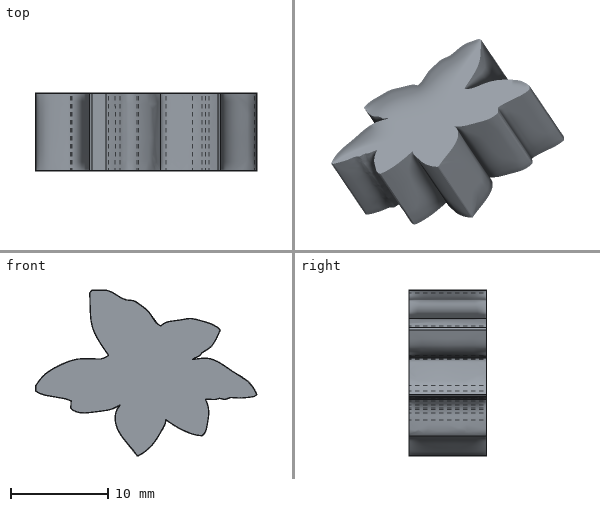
import cadquery as cq

LEAF_WIDTH = 22.8
LEAF_HEIGHT = 17.07
THICKNESS = 8.0

NOTCH_LEFT = (7.5, 10.35)
NOTCH_TOP = (12.88, 13.38)
NOTCH_RIGHT = (16.18, 9.94)
NOTCH_LOWER_RIGHT = (17.5, 5.81)
NOTCH_BOTTOM = (13.42, 3.7)
NOTCH_LOWER_LEFT = (8.7, 5.22)
NOTCH_SIDE_LOBE = (3.65, 5.65)

PETALS = [
    (
        [(6.6, 11.67), (5.97, 12.88), (5.7, 13.9), (5.6, 15.27)],
        [(5.55, 16.8), (5.81, LEAF_HEIGHT), (7.25, LEAF_HEIGHT)],
        [(8.32, 16.6), (9.35, 16.07), (10.03, 16.0), (10.7, 15.6), (11.65, 14.84), (12.6, 13.54)],
        NOTCH_TOP,
    ),
    (
        [(13.63, 13.8), (14.75, 13.97), (15.9, 14.15), (16.95, 13.95), (18.16, 13.55)],
        [(18.78, 13.22), (19.03, 12.95)],
        [(18.6, 12.0), (17.82, 11.03), (17.14, 10.6), (16.89, 10.3), (16.64, 10.19)],
        NOTCH_RIGHT,
    ),
    (
        [(16.75, 10.0), (17.48, 10.07), (18.75, 9.7), (20.4, 8.64), (21.85, 7.68), (22.55, 6.84)],
        [(LEAF_WIDTH, 6.3), (22.55, 6.1)],
        [(21.58, 5.97), (20.75, 5.95), (19.83, 5.93), (19.53, 5.8), (19.03, 5.93), (18.5, 5.8), (18.0, 5.81)],
        NOTCH_LOWER_RIGHT,
    ),
    (
        [(17.85, 4.3), (17.69, 3.2), (17.48, 2.44)],
        [(17.14, 2.05)],
        [(16.2, 2.2), (14.81, 2.8)],
        NOTCH_BOTTOM,
    ),
    (
        [(13.35, 3.33), (13.01, 2.62), (11.99, 1.1), (11.21, 0.39)],
        [(10.57, 0.0), (10.45, 0.0)],
        [(9.69, 1.0), (8.48, 2.65), (8.2, 3.53), (8.39, 4.79)],
        NOTCH_LOWER_LEFT,
    ),
    (
        [(7.7, 4.76), (6.0, 4.5), (4.63, 4.42)],
        [(3.74, 4.76), (3.6, 4.92)],
        [],
        NOTCH_SIDE_LOBE,
    ),
    (
        [(3.08, 5.85), (1.91, 6.06), (1.03, 6.22)],
        [(0.0, 6.65), (0.0, 7.22)],
        [(0.43, 7.85), (1.03, 8.45), (1.95, 9.07), (3.42, 9.73), (5.05, 10.03), (6.68, 9.98)],
        NOTCH_LEFT,
    ),
]


def add_flank(outline, between, end):
    """Continue the outline to `end`: a smooth curve through `between`, or a straight line."""
    if not between:
        return outline.lineTo(*end)
    return outline.spline(between + [end], includeCurrent=True)


def add_petal(outline, outward, tip, inward, notch):
    """Continue the outline around one petal, ending in its far notch."""
    outline = add_flank(outline, outward, tip[0])
    for corner in tip[1:]:
        outline = outline.lineTo(*corner)
    return add_flank(outline, inward, notch)


lower_left_corner = (-LEAF_WIDTH / 2, THICKNESS / 2, -LEAF_HEIGHT / 2)
outline = cq.Workplane("XZ", origin=lower_left_corner).moveTo(*NOTCH_LEFT)
for petal in PETALS:
    outline = add_petal(outline, *petal)

result = outline.close().extrude(THICKNESS)